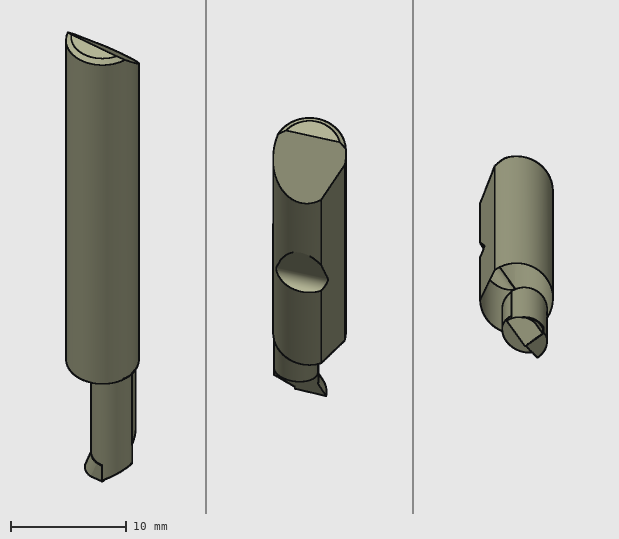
import cadquery as cq
import math

length = 50.8
radius = 3.175
shank_bottom = 12.7
top_chamfer_width = 0.45
top_chamfer_height = 0.35
bevel_start_y = -1.25
flat_direction = 150.0
flat_half_span = 28.0

notch_top = 36.4
notch_bottom = 27.85
notch_radius = 0.95
notch_center_y = 2.9
notch_slope = 10.0

neck_radius = 2.0
neck_rear_radius = 1.95
neck_x = radius - neck_radius
relief_start_z = 4.2
relief_slope = 42.0
nose_chamfer_x = 1.4
nose_chamfer_z = 0.6
nose_chamfer_slope = 40.0

tooth_top = 2.3
tooth_right = 1.3
tooth_overhang = 0.75
tooth_inset = 0.05
tooth_radius = neck_radius - tooth_inset
tooth_depth = 1.9
end_clearance_x = 0.04
end_clearance_y = 0.11

big = 4 * radius


def side_prism(points):
    """Prism along X through the whole part from (y, z) points."""
    return cq.Workplane("YZ").polyline(points).close().extrude(big, both=True)


def make_shank():
    chamfer_cut = (
        cq.Workplane("XZ")
        .moveTo(radius, length - top_chamfer_height)
        .lineTo(radius, length)
        .lineTo(radius - top_chamfer_width, length)
        .close()
        .revolve(360, (0, 0, 0), (0, 1, 0))
    )
    shank = cq.Workplane("XY").workplane(offset=shank_bottom).circle(radius).extrude(length - shank_bottom)
    bevel = side_prism([(bevel_start_y, length), (bevel_start_y + big, length - big), (big, length)])
    flat_distance = radius * math.cos(math.radians(flat_half_span))
    side_flat = (
        cq.Workplane("XY")
        .box(big, big, length, centered=(False, True, False))
        .translate((flat_distance, 0, shank_bottom))
        .rotate((0, 0, 0), (0, 0, 1), flat_direction)
    )
    return shank.cut(chamfer_cut).cut(bevel).cut(side_flat).cut(make_notch())


def make_notch():
    slope = math.radians(notch_slope)
    center_z = notch_bottom + notch_radius
    tangent_y = notch_center_y - notch_radius * math.cos(slope)
    tangent_z = center_z + notch_radius * math.sin(slope)
    middle = (math.pi / 2 - slope) / 2
    face_end_y = tangent_y + (notch_top - tangent_z) * math.tan(slope)
    return (
        cq.Workplane("YZ")
        .moveTo(big, notch_bottom)
        .lineTo(notch_center_y, notch_bottom)
        .threePointArc(
            (notch_center_y - notch_radius * math.sin(middle), center_z - notch_radius * math.cos(middle)),
            (tangent_y, tangent_z),
        )
        .lineTo(face_end_y, notch_top)
        .lineTo(big, notch_top + (big - face_end_y) / math.tan(slope))
        .close()
        .extrude(big, both=True)
    )


def half_cylinder(half_radius, side):
    """Half of the neck on the +Y (side 1) or -Y (side -1) side of the cutting face."""
    return (
        cq.Workplane("XY")
        .moveTo(neck_x - half_radius, 0)
        .threePointArc((neck_x, side * half_radius), (neck_x + half_radius, 0))
        .close()
        .extrude(shank_bottom)
    )


def make_neck():
    neck = half_cylinder(neck_radius, -1).union(half_cylinder(neck_rear_radius, 1))
    relief_rise = big * math.tan(math.radians(relief_slope))
    relief = side_prism([(0, -big), (0, relief_start_z), (big, relief_start_z + relief_rise), (big, -big)])
    nose_rise = big * math.tan(math.radians(nose_chamfer_slope))
    nose_chamfer = (
        cq.Workplane("XZ")
        .polyline([
            (nose_chamfer_x - big, nose_chamfer_z - nose_rise),
            (nose_chamfer_x + big, nose_chamfer_z + nose_rise),
            (nose_chamfer_x + big, nose_chamfer_z - nose_rise),
        ])
        .close()
        .extrude(big, both=True)
    )
    tooth_space = cq.Workplane("XY").box(big, big, tooth_top, centered=(True, True, False))
    tooth_space = tooth_space.translate((tooth_right - big / 2, 0, 0))
    return neck.cut(relief).cut(nose_chamfer).cut(tooth_space)


def tooth_wire(z, shift):
    """Tooth section: cutting face, rounded flank and outer flat."""
    center_x = neck_x - shift
    flank_angle = math.asin(tooth_depth / tooth_radius)
    middle = flank_angle / 2
    start = (center_x - tooth_radius, 0)
    through = (center_x - tooth_radius * math.cos(middle), -tooth_radius * math.sin(middle))
    end = (center_x - tooth_radius * math.cos(flank_angle), -tooth_depth)
    outline = cq.Workplane("XY").workplane(offset=z).moveTo(*start).threePointArc(through, end)
    return outline.lineTo(tooth_right, -tooth_depth).lineTo(tooth_right, 0).close().val()


def make_tooth():
    return cq.Workplane(cq.Solid.makeLoft([tooth_wire(0, tooth_overhang), tooth_wire(tooth_top, 0)], True))


def make_end_clearance():
    """Everything below the tilted end face, which passes through the tip at z = 0."""
    tip = (neck_x - tooth_overhang - tooth_radius, 0, 0)
    face_normal = (end_clearance_x, -end_clearance_y, -1)
    return cq.Workplane(cq.Plane(tip, (1, 0, end_clearance_x), face_normal)).rect(big, big).extrude(big)


tool_end = make_neck().union(make_tooth()).cut(make_end_clearance())
result = make_shank().union(tool_end)